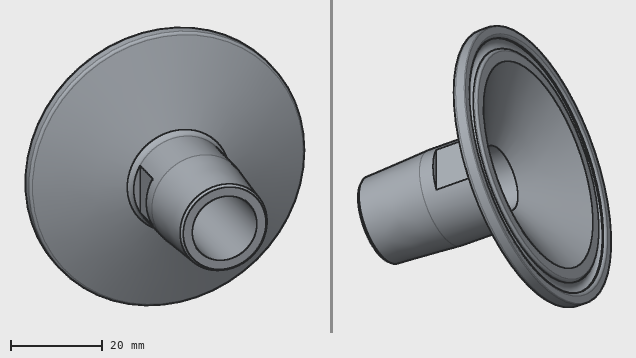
import cadquery as cq
import math

total_length = 40.0
flange_radius = 32.0
face_edge_round = 0.2

rim_length = 2.4
cone_start_x = 3.15
cone_start_radius = 31.4
neck_start_x = 11.85
neck_radius = 11.1
neck_fillet = 2.25
neck_fillet_length = 1.7

taper_start_x = 23.6
taper_end_radius = 10.1
end_chamfer_length = 0.65
end_chamfer_height = 0.5

funnel_mouth_radius = 23.8
funnel_depth = 9.5
bore_radius = 7.5

groove_inner_radius = 26.25
groove_outer_radius = 30.15
groove_depth = 1.6
groove_inner_lip = 0.65
groove_outer_lip = 0.8
groove_lip_depth = 0.5
groove_wall = 0.3

flat_start_x = 12.0
flat_end_x = 20.15
flat_offset = 9.6


def lip_middle(start_radius, width):
    """Middle point of a lip arc tangent to the face; a negative width runs inward."""
    arc_radius = (width**2 + groove_lip_depth**2) / (2 * groove_lip_depth)
    half_sweep = math.atan(groove_lip_depth / abs(width))
    middle_x = arc_radius * (1 - math.cos(half_sweep))
    middle_offset = math.copysign(arc_radius * math.sin(half_sweep), width)
    return (middle_x, start_radius + middle_offset)


def make_body():
    """Solid of revolution bounded by the outer outline, funnel and bore."""
    fillet_center = (neck_start_x, neck_radius + neck_fillet)
    fillet_sweep = math.asin(neck_fillet_length / neck_fillet)
    fillet_start = (
        fillet_center[0] - neck_fillet_length,
        fillet_center[1] - neck_fillet * math.cos(fillet_sweep),
    )
    fillet_middle = (
        fillet_center[0] - neck_fillet * math.sin(fillet_sweep / 2),
        fillet_center[1] - neck_fillet * math.cos(fillet_sweep / 2),
    )
    outline = (
        cq.Workplane("XY")
        .moveTo(0, funnel_mouth_radius)
        .lineTo(0, flange_radius - face_edge_round)
        .tangentArcPoint((face_edge_round, flange_radius), relative=False)
        .lineTo(rim_length, flange_radius)
        .tangentArcPoint((cone_start_x, cone_start_radius), relative=False)
        .lineTo(*fillet_start)
        .threePointArc(fillet_middle, (neck_start_x, neck_radius))
        .lineTo(taper_start_x, neck_radius)
        .lineTo(total_length - end_chamfer_length, taper_end_radius)
        .lineTo(total_length, taper_end_radius - end_chamfer_height)
        .lineTo(total_length, bore_radius)
        .lineTo(funnel_depth, bore_radius)
        .close()
    )
    return outline.revolve(360, (0, 0, 0), (1, 0, 0))


def make_groove():
    """Ring cutter with rounded lips and an arc floor."""
    inner_lip_end = groove_inner_radius + groove_inner_lip
    outer_lip_end = groove_outer_radius - groove_outer_lip
    floor_start_x = groove_lip_depth + groove_wall
    floor_middle = (groove_depth, (inner_lip_end + outer_lip_end) / 2)
    inner_lip_middle = lip_middle(groove_inner_radius, groove_inner_lip)
    outer_lip_middle = lip_middle(groove_outer_radius, -groove_outer_lip)
    outline = (
        cq.Workplane("XY")
        .moveTo(0, groove_inner_radius)
        .threePointArc(inner_lip_middle, (groove_lip_depth, inner_lip_end))
        .lineTo(floor_start_x, inner_lip_end)
        .threePointArc(floor_middle, (floor_start_x, outer_lip_end))
        .lineTo(groove_lip_depth, outer_lip_end)
        .threePointArc(outer_lip_middle, (0, groove_outer_radius))
        .close()
    )
    return outline.revolve(360, (0, 0, 0), (1, 0, 0))


def make_flat_cutter(side):
    """Block removing the neck beyond the wrench flat on the given Y side."""
    flat_length = flat_end_x - flat_start_x
    cutter_depth = neck_radius
    return cq.Workplane("XY").box(flat_length, cutter_depth, 2 * neck_radius).translate(
        ((flat_start_x + flat_end_x) / 2, side * (flat_offset + cutter_depth / 2), 0)
    )


result = make_body().cut(make_groove())
for side in (-1, 1):
    result = result.cut(make_flat_cutter(side))